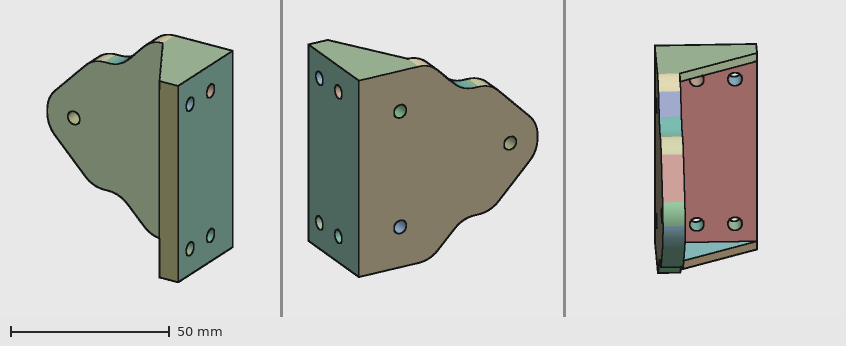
import cadquery as cq
import math

length = 65.0
depth = 32.0
height = 68.0
thickness = 7.0
rib_thickness = 2.85

corner_radius = 10.0
nose_half_flat = 0.7
shoulder_height = 22.1
shoulder_start = 21.3
top_start = 43.25

hole_diameter = 4.5
nose_hole_x = 10.0
rear_hole_x = 50.0
rear_hole_z = 20.0
flange_hole_z = 25.0
flange_hole_depths = (13.0, 25.0)

half_height = height / 2
flange_x = length - thickness

run = corner_radius * math.sin(math.radians(45))
sag = corner_radius - run
mid_run = corner_radius * math.sin(math.radians(22.5))
mid_sag = corner_radius * (1 - math.cos(math.radians(22.5)))

slope_length = half_height - shoulder_height - 2 * sag
shoulder_end = top_start - 2 * run - slope_length


def make_plate():
    """Vertical plate with a stepped, rounded outline, its back face at Y = 0."""
    upper_half = (
        cq.Workplane("XZ")
        .moveTo(0, 0)
        .lineTo(0, nose_half_flat)
        .threePointArc((mid_sag, nose_half_flat + mid_run), (sag, nose_half_flat + run))
        .lineTo(shoulder_start - run, shoulder_height - sag)
        .threePointArc(
            (shoulder_start - mid_run, shoulder_height - mid_sag),
            (shoulder_start, shoulder_height),
        )
        .lineTo(shoulder_end, shoulder_height)
        .threePointArc(
            (shoulder_end + mid_run, shoulder_height + mid_sag),
            (shoulder_end + run, shoulder_height + sag),
        )
        .lineTo(top_start - run, half_height - sag)
        .threePointArc((top_start - mid_run, half_height - mid_sag), (top_start, half_height))
        .lineTo(length, half_height)
        .lineTo(length, 0)
        .close()
        .extrude(thickness)
    )
    return upper_half.union(upper_half.mirror("XY")).clean()


def make_flange():
    """Wall square to the plate along its straight edge."""
    return cq.Workplane("XY").box(thickness, depth, height).translate(
        (length - thickness / 2, -depth / 2, 0)
    )


def make_rib(bottom):
    """Triangular gusset joining plate and flange, its lower face at Z = bottom."""
    return (
        cq.Workplane("XY", origin=(0, 0, bottom))
        .polyline([
            (top_start, 0),
            (length, 0),
            (length, -depth),
            (flange_x, -depth),
            (top_start, -thickness),
        ])
        .close()
        .extrude(rib_thickness)
    )


def make_plate_holes():
    centers = [(nose_hole_x, 0), (rear_hole_x, rear_hole_z), (rear_hole_x, -rear_hole_z)]
    return cq.Workplane("XZ").pushPoints(centers).circle(hole_diameter / 2).extrude(thickness)


def make_flange_holes():
    centers = [(-y, side * flange_hole_z) for y in flange_hole_depths for side in (-1, 1)]
    return (
        cq.Workplane("YZ", origin=(flange_x, 0, 0))
        .pushPoints(centers)
        .circle(hole_diameter / 2)
        .extrude(thickness)
    )


result = make_plate().union(make_flange())
for rib_bottom in (-half_height, half_height - rib_thickness):
    result = result.union(make_rib(rib_bottom))
result = result.clean().cut(make_plate_holes()).cut(make_flange_holes())